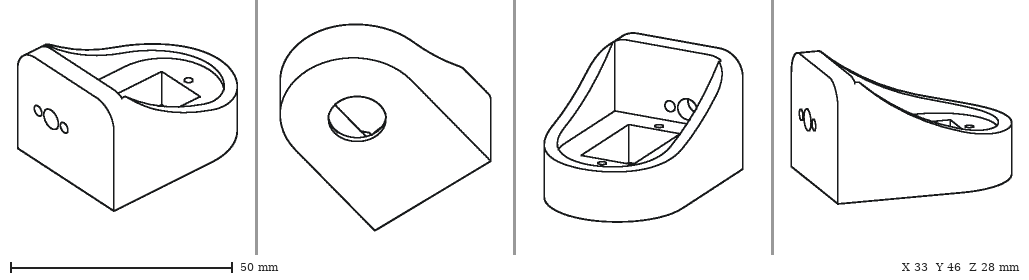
import cadquery as cq

width = 33.0
length = 46.0
height = 28.0
outer_radius = width / 2
round_center_y = length - outer_radius
top_corner_radius = 6.0

back_height = 12.0
sweep_radius = 60.25

rim_thickness = 3.0
front_wall_thickness = 5.0
recess_floor = 10.5

pocket_width = 13.15
pocket_front_y = 11.5
pocket_length = 23.0
pocket_floor = 1.4
opening_radius = 6.5
opening_center_y = pocket_front_y + pocket_length - opening_radius

screw_hole_radius = 0.95
screw_hole_depth = 6.9
screw_hole_offset = 2.3

wall_hole_z = 14.0
wall_hole_center_x = -5.0
center_hole_radius = 2.5
side_hole_radius = 1.3
side_hole_spacing = 4.45


def half_round_prism(radius, front_y, bottom_z):
    """Prism rising to the full height, flat at front_y and rounded at the back."""
    return (
        cq.Workplane("XY", origin=(0, 0, bottom_z))
        .moveTo(-radius, front_y)
        .lineTo(radius, front_y)
        .lineTo(radius, round_center_y)
        .threePointArc((0, round_center_y + radius), (-radius, round_center_y))
        .close()
        .extrude(height - bottom_z)
    )


def vertical_cylinder(radius, center_y, bottom_z, top_z):
    return (
        cq.Workplane("XY", origin=(0, center_y, bottom_z))
        .circle(radius)
        .extrude(top_z - bottom_z)
    )


def front_wall_hole(center_x, radius):
    return (
        cq.Workplane("XZ", origin=(center_x, 0, wall_hole_z))
        .circle(radius)
        .extrude(-front_wall_thickness)
    )


def outer_body():
    body = half_round_prism(outer_radius, 0, 0)
    rounded_envelope = (
        cq.Workplane("XY")
        .box(width, length, height, centered=(True, False, False))
        .edges("|Y and >Z")
        .fillet(top_corner_radius)
    )
    sweep_cylinder = (
        cq.Workplane("YZ", origin=(0, length, back_height + sweep_radius))
        .circle(sweep_radius)
        .extrude(outer_radius, both=True)
    )
    return body.intersect(rounded_envelope).cut(sweep_cylinder)


def pocket():
    return cq.Workplane("XY", origin=(0, pocket_front_y, pocket_floor)).box(
        pocket_width, pocket_length, recess_floor - pocket_floor, centered=(True, False, False)
    )


result = outer_body()
result = result.cut(half_round_prism(outer_radius - rim_thickness, front_wall_thickness, recess_floor))
result = result.cut(pocket())
result = result.cut(vertical_cylinder(opening_radius, opening_center_y, 0, pocket_floor))

pocket_back_y = pocket_front_y + pocket_length
for screw_y in (pocket_front_y - screw_hole_offset, pocket_back_y + screw_hole_offset):
    result = result.cut(
        vertical_cylinder(screw_hole_radius, screw_y, recess_floor - screw_hole_depth, recess_floor)
    )

result = result.cut(front_wall_hole(wall_hole_center_x, center_hole_radius))
for side in (-1, 1):
    side_x = wall_hole_center_x + side * side_hole_spacing
    result = result.cut(front_wall_hole(side_x, side_hole_radius))